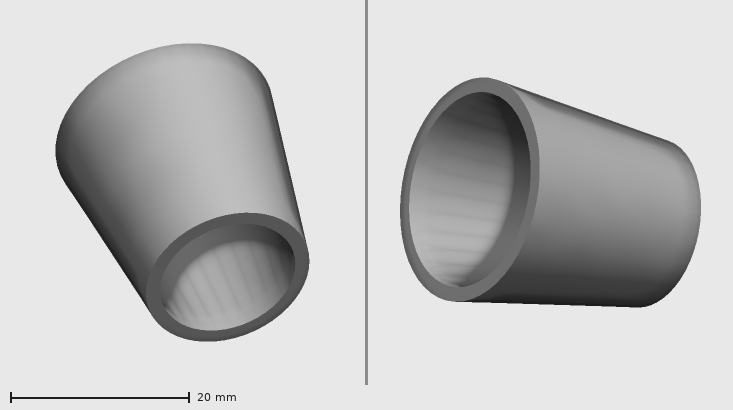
import cadquery as cq

length = 25.4
large_diameter = 25.4
small_diameter = 19.05
wall = 1.65

large_radius = large_diameter / 2
small_radius = small_diameter / 2

half_section = (
    cq.Workplane("XY")
    .moveTo(0, large_radius)
    .lineTo(length, small_radius)
    .lineTo(length, small_radius - wall)
    .lineTo(0, large_radius - wall)
    .close()
)

result = half_section.revolve(360, (0, 0, 0), (1, 0, 0))